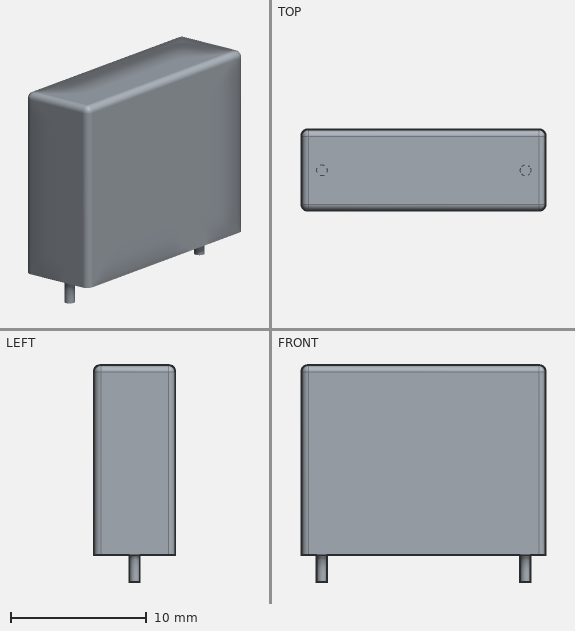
import cadquery as cq

body_length = 18.0
body_depth = 6.01
total_height = 16.0

lead_length = 2.0
lead_diameter = 0.8
lead_pitch = 15.0

edge_radius = 0.5

body_height = total_height - lead_length


def make_body():
    """Box standing on Z = 0, rounded on all edges except those of its base."""
    box = cq.Workplane("XY").box(
        body_length, body_depth, body_height, centered=(True, True, False)
    )
    return box.edges("|Z or >Z").fillet(edge_radius)


def make_lead(x):
    """Straight round lead hanging below the base."""
    return cq.Workplane("XY").center(x, 0).circle(lead_diameter / 2).extrude(-lead_length)


result = make_body()
for side in (-1, 1):
    result = result.union(make_lead(side * lead_pitch / 2))